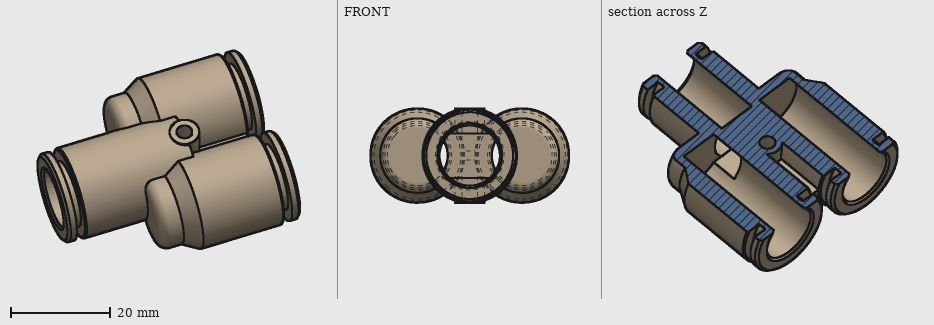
import cadquery as cq

length = 46.0
width = 40.0
body_dia = 19.0
half_length = length / 2
body_radius = body_dia / 2
branch_offset = width / 2 - body_radius

collar_radius = 9.3
collar_thickness = 1.9
collar_chamfer = 0.55
neck_radius = 6.9
body_setback = 3.6
body_chamfer = 0.3
bore_radius = 6.05
bore_mouth_chamfer = 0.45

taper_start_y = 2.02
taper_end_y = -1.43
closed_radius = 7.5
closed_fillet = 2.02
closed_end_y = -6.03

stem_end_y = 5.3
bore_floor_y = -3.7
passage_end_y = 2.3
passage_height = 8.92
boss_radius = 3.0
boss_hole_radius = 1.55
web_height = 1.85

body_end_y = half_length - body_setback
collar_inner_y = half_length - collar_thickness


def port_outline(profile):
    """Continue a half profile from the body edge to the axis at the port face."""
    return (
        profile
        .lineTo(body_radius, body_end_y - body_chamfer)
        .lineTo(body_radius - body_chamfer, body_end_y)
        .lineTo(neck_radius, body_end_y)
        .lineTo(neck_radius, collar_inner_y)
        .lineTo(collar_radius, collar_inner_y)
        .lineTo(collar_radius, half_length - collar_chamfer)
        .lineTo(collar_radius - collar_chamfer, half_length)
        .lineTo(0, half_length)
        .close()
    )


def revolve_about_y(profile):
    return profile.revolve(360, (0, 0, 0), (0, 1, 0))


def make_branch():
    fillet_start = (closed_radius, closed_end_y + closed_fillet)
    profile = (
        cq.Workplane("XY")
        .moveTo(0, closed_end_y)
        .lineTo(closed_radius - closed_fillet, closed_end_y)
        .radiusArc(fillet_start, -closed_fillet)
        .lineTo(closed_radius, taper_end_y)
        .lineTo(body_radius, taper_start_y)
    )
    return revolve_about_y(port_outline(profile))


def make_stem():
    profile = cq.Workplane("XY").moveTo(0, -stem_end_y).lineTo(body_radius, -stem_end_y)
    return revolve_about_y(port_outline(profile)).rotate((0, 0, 0), (0, 0, 1), 180)


def make_bore(floor_y):
    """Blind bore of a +Y port with a chamfered mouth."""
    profile = (
        cq.Workplane("XY")
        .moveTo(0, floor_y)
        .lineTo(bore_radius, floor_y)
        .lineTo(bore_radius, half_length - bore_mouth_chamfer)
        .lineTo(bore_radius + bore_mouth_chamfer, half_length)
        .lineTo(0, half_length)
        .close()
    )
    return revolve_about_y(profile)


def make_web():
    web_length = body_end_y - body_chamfer - stem_end_y
    return (
        cq.Workplane("XY")
        .box(2 * branch_offset, web_length, web_height)
        .translate((0, stem_end_y + web_length / 2, 0))
    )


def make_passage():
    """Flat cross channel linking the stem bore to both branch bores."""
    passage_length = passage_end_y - bore_floor_y
    return (
        cq.Workplane("XY")
        .box(2 * branch_offset, passage_length, passage_height)
        .translate((0, bore_floor_y + passage_length / 2, 0))
    )


def vertical_cylinder(radius):
    return cq.Workplane("XY").center(0, stem_end_y).circle(radius).extrude(body_radius, both=True)


result = make_stem().union(make_web()).union(vertical_cylinder(boss_radius))
for side in (-1, 1):
    result = result.union(make_branch().translate((side * branch_offset, 0, 0)))

for side in (-1, 1):
    result = result.cut(make_bore(bore_floor_y).translate((side * branch_offset, 0, 0)))
stem_bore = make_bore(-bore_floor_y).rotate((0, 0, 0), (0, 0, 1), 180)
result = result.cut(stem_bore).cut(make_passage())
result = result.cut(vertical_cylinder(boss_hole_radius))